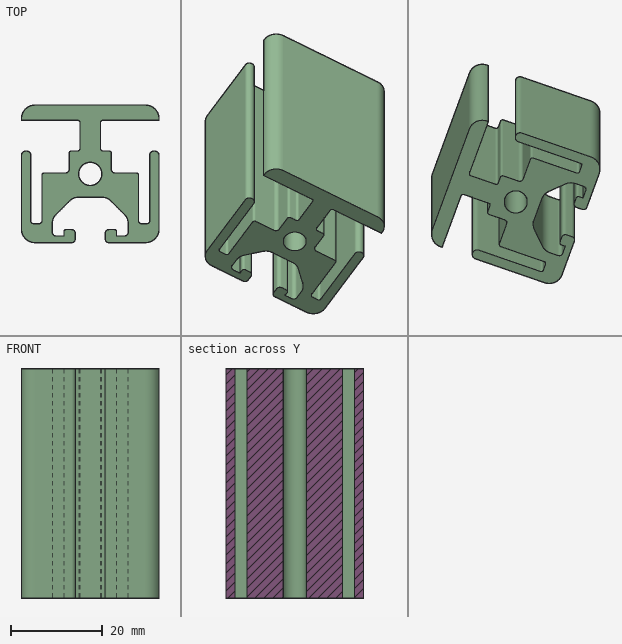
import cadquery as cq

width = 30.0
depth = 30.0
length = 50.0
half_width = width / 2
front_y = -depth / 2
back_y = depth / 2

flange_thickness = 3.35
stem_width = 4.5
flange_front_y = back_y - flange_thickness
stem_x = stem_width / 2

neck_width = 9.2
core_width = 21.1
neck_top_y = 5.0
shoulder_y = 0.2
bore_diameter = 5.0
neck_x = neck_width / 2
core_x = core_width / 2

wall_thickness = 2.1
wall_top_y = 5.0
slot_floor_y = -10.8
wall_inner_x = half_width - wall_thickness

mouth_width = 6.5
cavity_width = 16.5
cavity_ceiling_y = -5.1
ceiling_chamfer = 4.55
lip_thickness = 1.5
hook_width = 2.5
hook_rise = 1.4
mouth_x = mouth_width / 2
cavity_x = cavity_width / 2
cavity_floor_y = front_y + lip_thickness
hook_top_y = cavity_floor_y + hook_rise
hook_inner_x = mouth_x + hook_width

outer_radius = 3.0
wall_tip_radius = 1.0
small_radius = 0.5
cavity_corner_radius = 0.8
shoulder_radius = 0.8
hook_radius = 0.8
ceiling_radius = 2.8

half_section = [
    (half_width, back_y, outer_radius),
    (half_width, flange_front_y, 0),
    (stem_x, flange_front_y, small_radius),
    (stem_x, neck_top_y, small_radius),
    (neck_x, neck_top_y, small_radius),
    (neck_x, shoulder_y, shoulder_radius),
    (core_x, shoulder_y, small_radius),
    (core_x, slot_floor_y, small_radius),
    (wall_inner_x, slot_floor_y, small_radius),
    (wall_inner_x, wall_top_y, wall_tip_radius),
    (half_width, wall_top_y, wall_tip_radius),
    (half_width, front_y, outer_radius),
    (mouth_x, front_y, hook_radius),
    (mouth_x, hook_top_y, hook_radius),
    (hook_inner_x, hook_top_y, small_radius),
    (hook_inner_x, cavity_floor_y, 0),
    (cavity_x, cavity_floor_y, cavity_corner_radius),
    (cavity_x, cavity_ceiling_y - ceiling_chamfer, ceiling_radius),
    (cavity_x - ceiling_chamfer, cavity_ceiling_y, ceiling_radius),
]


def make_section_bar():
    """Extrude the mirrored section with all its corners still sharp."""
    right = [(x, y) for x, y, _ in half_section]
    left = [(-x, y) for x, y in reversed(right)]
    return cq.Workplane("XY").polyline(right + left).close().extrude(length)


def round_corners(bar):
    """Round the lengthwise edges, one radius at a time, on both halves."""
    radii = sorted({radius for _, _, radius in half_section if radius > 0})
    for radius in radii:
        corners = [(side * x, y) for x, y, r in half_section if r == radius for side in (1, -1)]
        edges = [
            bar.edges(cq.selectors.NearestToPointSelector((x, y, length / 2))).val()
            for x, y in corners
        ]
        bar = bar.newObject(edges).fillet(radius)
    return bar


def drill_bore(bar):
    """Cut the round through bore on the section centre."""
    bore = cq.Workplane("XY").circle(bore_diameter / 2).extrude(length)
    return bar.cut(bore)


result = drill_bore(round_corners(make_section_bar()))